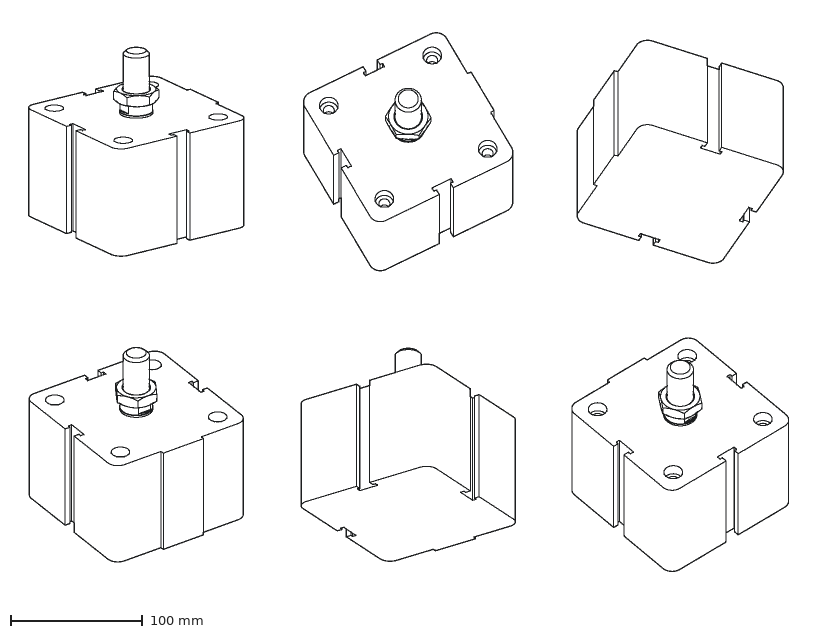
import cadquery as cq
import math

body_side = 122.0
corner_radius = 9.0
cap_height = 19.5
barrel_height = 47.5
body_height = 2 * cap_height + barrel_height

rib_height = 3.0
rib_base_width = 37.4
rib_top_width = 36.6

slot_mouth_width = 12.0
slot_inner_width = 16.5
slot_lip = 4.5
slot_depth = 7.5

hole_spacing = 89.0
counterbore_diameter = 14.0
counterbore_depth = 8.6
hole_diameter = 8.3
hole_depth = cap_height

overall_height = 136.5
collar_diameter = 25.4
collar_cylinder_height = 1.5
collar_height = 1.8
neck_diameter = 25.0
neck_height = 10.0
neck_tip_diameter = 24.5
neck_chamfer = (neck_diameter - neck_tip_diameter) / 2
flats_width = 22.5
flats_start = 3.0
thread_diameter = 20.0
thread_chamfer = 2.5
rod_length = overall_height - body_height

nut_width = 30
nut_height = 9.0
nut_bevel_diameter = 29.9
nut_bevel_angle = math.radians(30)
nut_sides = 6
bore_chamfer = 0.8


def t_slot(angle):
    """Full-height cutter for the -Y T-slot, turned about Z by the angle in degrees."""
    edge = -body_side / 2
    lip_y = edge + slot_lip
    floor_y = edge + slot_depth
    mouth = slot_mouth_width / 2
    inner = slot_inner_width / 2
    outline = [
        (-mouth, edge),
        (mouth, edge),
        (mouth, lip_y),
        (inner, lip_y),
        (inner, floor_y),
        (-inner, floor_y),
        (-inner, lip_y),
        (-mouth, lip_y),
    ]
    slot = cq.Workplane("XY").polyline(outline).close().extrude(body_height)
    return slot.rotate((0, 0, 0), (0, 0, 1), angle)


def housing_section(bottom, height):
    """One length of the housing profile: rounded square with the rib."""
    half_side = body_side / 2
    rib_outline = [
        (-rib_base_width / 2, half_side),
        (-rib_top_width / 2, half_side + rib_height),
        (rib_top_width / 2, half_side + rib_height),
        (rib_base_width / 2, half_side),
    ]
    plane = cq.Workplane("XY").workplane(offset=bottom)
    block = plane.rect(body_side, body_side).extrude(height).edges("|Z").fillet(corner_radius)
    rib = plane.polyline(rib_outline).close().extrude(height)
    section = block.union(rib)
    for angle in (-90, 0, 90):
        section = section.cut(t_slot(angle))
    return section


def make_housing():
    """Cap, barrel and cap fused into one solid, keeping the seams between them as edges."""
    body = housing_section(0, cap_height)
    body = body.union(housing_section(cap_height, barrel_height), clean=False)
    body = body.union(housing_section(cap_height + barrel_height, cap_height), clean=False)
    holes = (
        cq.Workplane("XY")
        .workplane(offset=body_height)
        .rect(hole_spacing, hole_spacing, forConstruction=True)
        .vertices()
    )
    body = body.cut(holes.circle(counterbore_diameter / 2).extrude(-counterbore_depth), clean=False)
    return body.cut(holes.circle(hole_diameter / 2).extrude(-hole_depth), clean=False)


def make_rod():
    """Turned rod with a collar, a neck with two wrench flats and a chamfered thread end."""
    profile = [
        (0, 0),
        (collar_diameter / 2, 0),
        (collar_diameter / 2, collar_cylinder_height),
        (neck_diameter / 2, collar_height),
        (neck_diameter / 2, neck_height - neck_chamfer),
        (neck_tip_diameter / 2, neck_height),
        (thread_diameter / 2, neck_height),
        (thread_diameter / 2, rod_length - thread_chamfer),
        (thread_diameter / 2 - thread_chamfer, rod_length),
        (0, rod_length),
    ]
    rod = cq.Workplane("XZ").polyline(profile).close().revolve(360, (0, 0, 0), (0, 1, 0))
    flats_height = neck_height - flats_start
    neck_zone = cq.Workplane("XY").workplane(offset=flats_start)
    outside_flats = (
        neck_zone.circle(neck_diameter)
        .extrude(flats_height)
        .cut(neck_zone.rect(2 * neck_diameter, flats_width).extrude(flats_height))
    )
    return rod.cut(outside_flats).translate((0, 0, body_height))


def make_nut():
    """Hexagon nut, bevelled at both ends, with a countersunk bore that fits the thread."""
    corner_diameter = nut_width / math.cos(math.pi / nut_sides)
    bevel_radius = nut_bevel_diameter / 2
    corner_distance = corner_diameter / 2
    bevel_height = (corner_distance - bevel_radius) * math.tan(nut_bevel_angle)
    bore_radius = thread_diameter / 2
    turned_profile = [
        (bore_radius, bore_chamfer),
        (bore_radius + bore_chamfer, 0),
        (bevel_radius, 0),
        (corner_distance, bevel_height),
        (corner_distance, nut_height - bevel_height),
        (bevel_radius, nut_height),
        (bore_radius + bore_chamfer, nut_height),
        (bore_radius, nut_height - bore_chamfer),
    ]
    turned = cq.Workplane("XZ").polyline(turned_profile).close().revolve(360, (0, 0, 0), (0, 1, 0))
    hexagon = cq.Workplane("XY").polygon(nut_sides, corner_diameter).extrude(nut_height)
    return hexagon.intersect(turned).translate((0, 0, body_height + neck_height))


housing = make_housing()
rod = make_rod()
nut = make_nut()

result = cq.Compound.makeCompound([housing.val(), rod.val(), nut.val()])